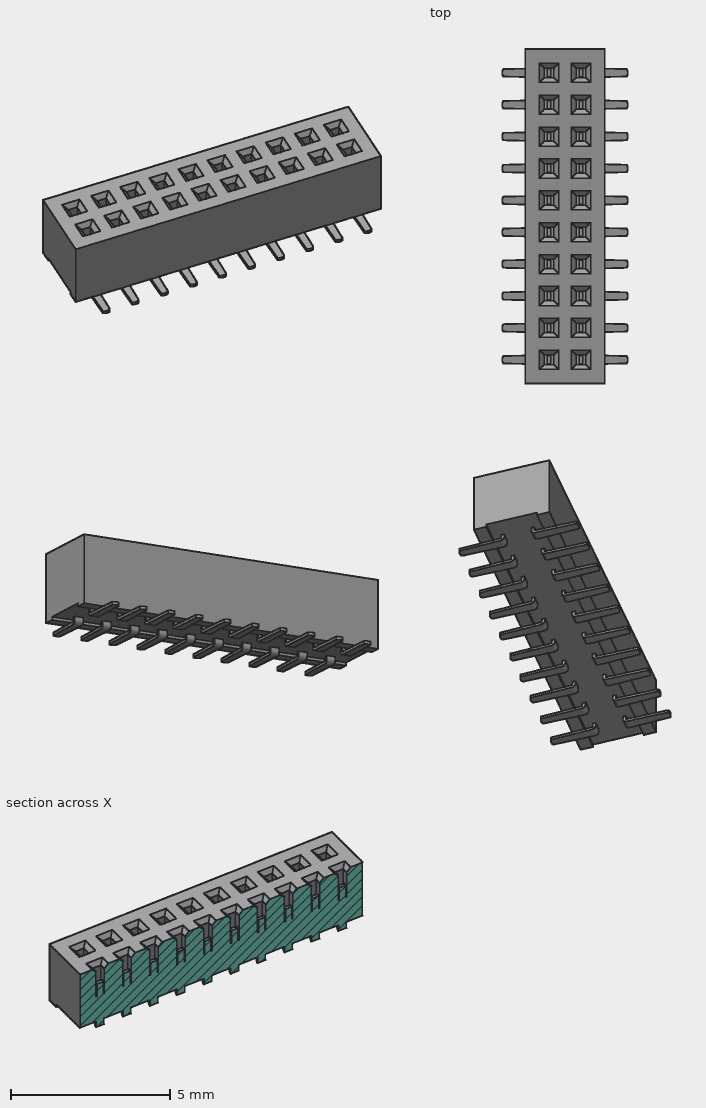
import cadquery as cq

PITCH = 1.0
CONTACTS_PER_ROW = 10
ROW_X = PITCH / 2
CONTACT_Y = [(i - (CONTACTS_PER_ROW - 1) / 2) * PITCH for i in range(CONTACTS_PER_ROW)]

TOP_Z = 2.4
BODY_WIDTH = 2.5
BODY_LENGTH = 10.5
FOOT_Z = 0.14
GROOVE_WIDTH = 1.68
GROOVE_CEILING_Z = 0.24

SOCKET_MOUTH = 0.6
WELL_SIDE = 0.3
FUNNEL_DEPTH = (SOCKET_MOUTH - WELL_SIDE) / 2
WELL_DEPTH = 1.0
WELL_FLOOR_Z = TOP_Z - FUNNEL_DEPTH - WELL_DEPTH

METAL = 0.1
LEAD_SPAN = 3.95
LEAD_TIP_X = LEAD_SPAN / 2
LEAD_ROOT_WIDTH = 0.3
LEAD_TIP_WIDTH = 0.24
TIP_BULGE = 0.04
INNER_BEND_RADIUS = 0.03
OUTER_BEND_RADIUS = INNER_BEND_RADIUS + METAL
BLADE_WIDTH = 0.25
BLADE_TOP_Z = WELL_FLOOR_Z + WELL_DEPTH / 2


def make_housing():
    """Block with a groove along its underside that leaves a foot on each long edge."""
    body = (
        cq.Workplane("XY")
        .workplane(offset=FOOT_Z)
        .rect(BODY_WIDTH, BODY_LENGTH)
        .extrude(TOP_Z - FOOT_Z)
    )
    groove = (
        cq.Workplane("XY")
        .workplane(offset=FOOT_Z)
        .rect(GROOVE_WIDTH, BODY_LENGTH)
        .extrude(GROOVE_CEILING_Z - FOOT_Z)
    )
    return body.cut(groove)


def make_socket_cutter():
    """Funnel and well, centred on the Z axis."""
    funnel = (
        cq.Workplane("XY")
        .workplane(offset=TOP_Z)
        .rect(SOCKET_MOUTH, SOCKET_MOUTH)
        .workplane(offset=-FUNNEL_DEPTH)
        .rect(WELL_SIDE, WELL_SIDE)
        .loft(ruled=True)
    )
    well = (
        cq.Workplane("XY")
        .workplane(offset=TOP_Z - FUNNEL_DEPTH)
        .rect(WELL_SIDE, WELL_SIDE)
        .extrude(-WELL_DEPTH)
    )
    return funnel.union(well)


def make_contact():
    """Contact of the +X row, centred on Y = 0, with its lead pointing to +X."""
    inner_x = ROW_X - METAL / 2
    outer_x = ROW_X + METAL / 2
    lead_start_x = inner_x + OUTER_BEND_RADIUS

    bent_strip = (
        cq.Workplane("XZ")
        .moveTo(inner_x, WELL_FLOOR_Z)
        .lineTo(inner_x, OUTER_BEND_RADIUS)
        .radiusArc((lead_start_x, 0), -OUTER_BEND_RADIUS)
        .lineTo(LEAD_TIP_X, 0)
        .lineTo(LEAD_TIP_X, METAL)
        .lineTo(lead_start_x, METAL)
        .radiusArc((outer_x, METAL + INNER_BEND_RADIUS), INNER_BEND_RADIUS)
        .lineTo(outer_x, WELL_FLOOR_Z)
        .close()
        .extrude(LEAD_ROOT_WIDTH / 2, both=True)
    )

    root_half = LEAD_ROOT_WIDTH / 2
    tip_half = LEAD_TIP_WIDTH / 2
    tip_corner_x = LEAD_TIP_X - TIP_BULGE
    plan = (
        cq.Workplane("XY")
        .moveTo(inner_x, -root_half)
        .lineTo(lead_start_x, -root_half)
        .lineTo(tip_corner_x, -tip_half)
        .threePointArc((LEAD_TIP_X, 0), (tip_corner_x, tip_half))
        .lineTo(lead_start_x, root_half)
        .lineTo(inner_x, root_half)
        .close()
        .extrude(TOP_Z)
    )

    blade = (
        cq.Workplane("XY")
        .workplane(offset=WELL_FLOOR_Z)
        .center(ROW_X, 0)
        .rect(METAL, BLADE_WIDTH)
        .extrude(BLADE_TOP_Z - WELL_FLOOR_Z)
    )
    return bent_strip.intersect(plan).union(blade)


def build_connector():
    """Housing with one socket and one contact at every grid position, as a single solid."""
    connector = make_housing()
    socket = make_socket_cutter()
    right_contact = make_contact()
    left_contact = right_contact.mirror("YZ")
    for row_x, contact in ((ROW_X, right_contact), (-ROW_X, left_contact)):
        for y in CONTACT_Y:
            connector = connector.cut(socket.translate((row_x, y, 0)))
            connector = connector.union(contact.translate((0, y, 0)))
    return connector.solids()


result = build_connector()